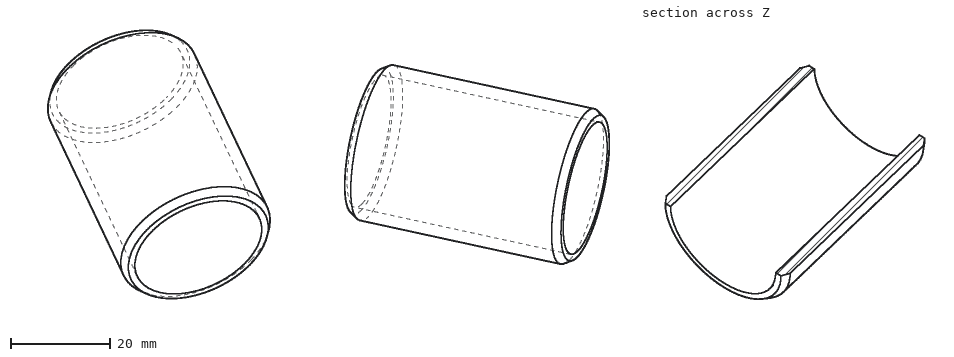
import cadquery as cq

length = 46.0
outer_diameter = 32.0
bore_diameter = 27.2

chamfer_length = 1.65
chamfer_depth = 1.0

outer_radius = outer_diameter / 2
bore_radius = bore_diameter / 2
end_radius = outer_radius - chamfer_depth
half_length = length / 2
shoulder = half_length - chamfer_length

wall_section = (
    cq.Workplane("XY")
    .moveTo(-half_length, bore_radius)
    .lineTo(-half_length, end_radius)
    .lineTo(-shoulder, outer_radius)
    .lineTo(shoulder, outer_radius)
    .lineTo(half_length, end_radius)
    .lineTo(half_length, bore_radius)
    .close()
)

result = wall_section.revolve(360, (0, 0, 0), (1, 0, 0))